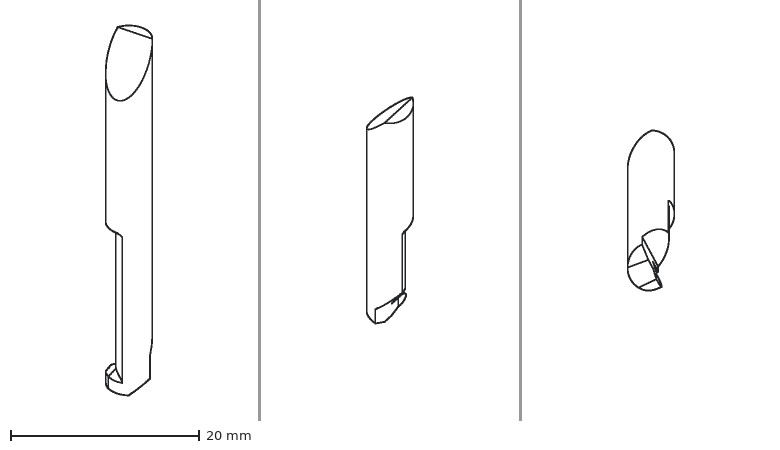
import cadquery as cq
import math

length = 44.5
radius = 2.5
clear = 2 * radius

flat_angle = math.radians(30)
top_flat_edge = 1.25
back_flat_top = 8.3

neck_shift = 1.25
shoulder_z = 20.9
shoulder_fillet = 0.5
back_face_y = 0.22

nose_radius = 1.0
tooth_height = 2 * nose_radius
tooth_inner_x = 1.0
clearance_angle = 5.0
corner_chamfer = 1.42
split_x = neck_shift - radius

relief_top = 2.7
relief_inner = 2.0
relief_direction = 218.0
rake_height = 2.5
rake_end_x = 0.0


def side_prism(points):
    """Prism through the full width of the bar from (Y, Z) points."""
    return cq.Workplane("YZ").polyline(points).close().extrude(clear, both=True)


def top_flat_cutter():
    drop = (top_flat_edge + clear) / math.tan(flat_angle)
    return side_prism([(top_flat_edge, length), (-clear, length), (-clear, length - drop)])


def back_cutter():
    bend_z = back_flat_top - (radius - back_face_y) / math.tan(flat_angle)
    outer_z = back_flat_top + (clear - radius) / math.tan(flat_angle)
    return side_prism([(back_face_y, 0), (back_face_y, bend_z), (clear, outer_z), (clear, 0)])


def bottom_clearance_cutter():
    rise = clear * math.tan(math.radians(clearance_angle))
    return side_prism([(0, 0), (-clear, rise), (-clear, 0)])


def neck_cutter():
    """Ring around the neck, with a filleted shoulder at its upper end."""
    diagonal = shoulder_fillet * (1 - math.sqrt(0.5))
    return (
        cq.Workplane("XZ")
        .moveTo(radius, 0)
        .lineTo(radius, shoulder_z - shoulder_fillet)
        .threePointArc(
            (radius + diagonal, shoulder_z - diagonal),
            (radius + shoulder_fillet, shoulder_z),
        )
        .lineTo(2 * clear, shoulder_z)
        .lineTo(2 * clear, 0)
        .close()
        .revolve(360, (0, 0, 0), (0, 1, 0))
        .translate((neck_shift, 0, 0))
    )


def corner_cutter():
    start_x = radius - corner_chamfer
    return (
        cq.Workplane("XZ")
        .polyline([(start_x, 0), (radius, corner_chamfer), (clear, corner_chamfer), (clear, 0)])
        .close()
        .extrude(clear, both=True)
    )


def make_tooth(bar):
    """Round-nosed tooth that tapers away from its cutting edge, trimmed to the bar."""
    nose_center_x = nose_radius - radius
    tooth = (
        cq.Workplane("XZ")
        .moveTo(tooth_inner_x, 0)
        .lineTo(nose_center_x, 0)
        .threePointArc((-radius, nose_radius), (nose_center_x, tooth_height))
        .lineTo(tooth_inner_x, tooth_height)
        .close()
        .extrude(radius, taper=clearance_angle)
    )
    return tooth.intersect(bar)


def relief_cutter():
    """Slanted flat that undercuts the neck just above the tooth."""
    slope = (relief_top - tooth_height) / (radius - relief_inner)
    outer_z = tooth_height + (clear - relief_inner) * slope
    tooth_drop = radius * math.tan(math.radians(clearance_angle))
    floor_z = tooth_height - tooth_drop
    return (
        cq.Workplane("XZ")
        .moveTo(relief_inner, floor_z)
        .lineTo(relief_inner, tooth_height)
        .lineTo(clear, outer_z)
        .lineTo(clear, floor_z)
        .close()
        .extrude(clear, both=True)
        .rotate((0, 0, 0), (0, 0, 1), relief_direction)
        .translate((neck_shift, 0, 0))
    )


def rake_cutter():
    return (
        cq.Workplane("XY")
        .polyline([(-clear, 0), (split_x, 0), (rake_end_x, back_face_y), (-clear, back_face_y)])
        .close()
        .extrude(rake_height)
    )


bar = cq.Workplane("XY").circle(radius).extrude(length)
tooth = make_tooth(bar)
tip_side = cq.Workplane("XY").box(clear, 2 * clear, clear).translate((split_x - clear / 2, 0, 0))

holder = (
    bar.cut(top_flat_cutter())
    .cut(back_cutter())
    .cut(neck_cutter())
    .cut(relief_cutter())
    .cut(bottom_clearance_cutter())
    .cut(corner_cutter())
    .cut(rake_cutter())
    .union(tooth.cut(tip_side))
)
cutting_tip = tooth.intersect(tip_side)

result = cq.Compound.makeCompound([holder.val(), cutting_tip.val()])